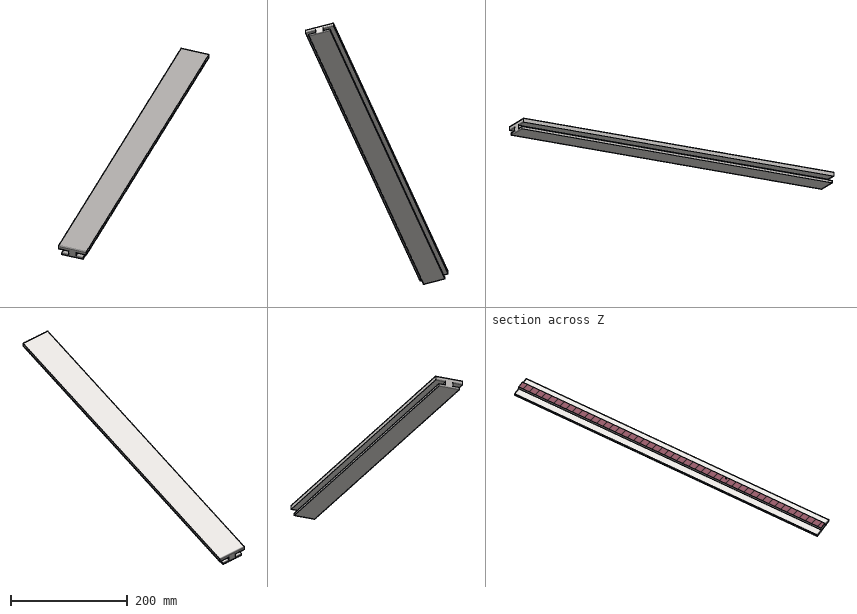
import cadquery as cq

length = 603.0
plate_width = 50.5
height = 17.5

plate_thickness = 7.0
web_width = 13.0
flange_width = 38.5
flange_thickness = 4.0

plate_end_radius = 1.0
flange_end_radius = 0.5


def bar(width, bottom, top):
    """Full-length bar, centred on X and Y, between two heights."""
    return cq.Workplane("XY").workplane(offset=bottom).rect(width, length).extrude(top - bottom)


def round_ends(body, radius):
    """Round the crosswise edges at both ends of a bar."""
    return body.faces("<Y or >Y").edges("|X").fillet(radius)


plate_bottom = height - plate_thickness
plate = round_ends(bar(plate_width, plate_bottom, height), plate_end_radius)
flange = round_ends(bar(flange_width, 0, flange_thickness), flange_end_radius)

web = bar(web_width, flange_thickness / 2, plate_bottom + plate_thickness / 2)

result = plate.union(web).union(flange)